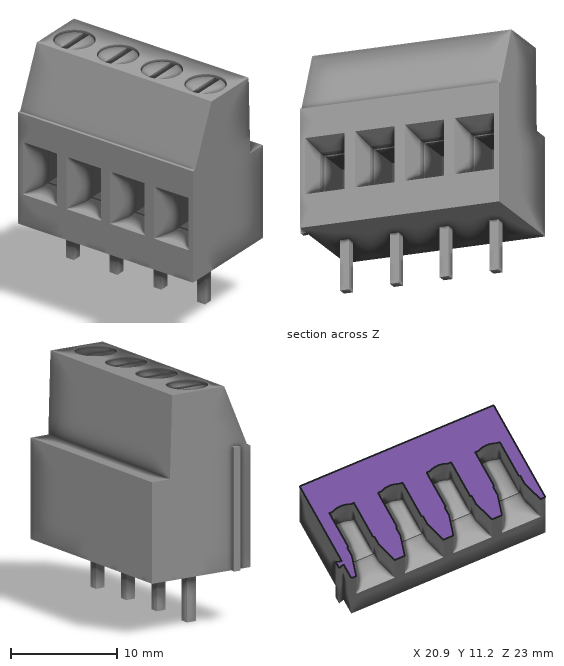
import cadquery as cq
import math

terminal_count = 4
pitch = 5.08
body_length = terminal_count * pitch
body_depth = 11.2
body_height = 18.0
front_wall_height = 11.85
front_ledge_depth = 0.32
top_front_y = 3.0
top_back_y = 8.92
step_y = 9.18
step_height = 9.87

rib_projection = 0.55
rib_root_width = 0.45
rib_tip_width = 0.78
rib_height = 12.05
rib_y = 1.89

entry_floor_z = 3.3
entry_mouth_width = 4.0
entry_mouth_top_z = 8.85
throat_width = 2.78
throat_top_z = 8.0
funnel_depth = 2.2
throat_depth = 3.17

screw_y = 5.52
screw_hole_diameter = 4.0
screw_diameter = 3.8
screw_recess = 0.2
screw_slot_width = 0.7
screw_slot_depth = 1.0
screw_top_z = body_height - screw_recess
screw_hole_floor_z = screw_top_z - screw_slot_depth

chamber_width = 2.53
chamber_floor_z = 3.45
chamber_top_z = 7.9
groove_width = 1.85
groove_radius = screw_hole_diameter / 2
chamber_depth = screw_y + math.sqrt(groove_radius**2 - (groove_width / 2) ** 2)

pin_y = 5.3
pin_width = 0.92
pin_thickness = 1.0
pin_length = 5.0

terminal_positions = [(i + 0.5) * pitch for i in range(terminal_count)]


def box(width, y_start, y_end, z_start, z_end):
    """Box centred on X = 0."""
    size_y = y_end - y_start
    size_z = z_end - z_start
    block = cq.Workplane("XY").box(width, size_y, size_z, centered=(True, False, False))
    return block.translate((0, y_start, z_start))


def cylinder(radius, z_start, z_end):
    """Upright cylinder on the screw axis."""
    return cq.Workplane("XY", origin=(0, screw_y, z_start)).circle(radius).extrude(z_end - z_start)


def make_housing():
    profile = [
        (0, 0),
        (body_depth, 0),
        (body_depth, step_height),
        (step_y, step_height),
        (top_back_y, body_height),
        (top_front_y, body_height),
        (front_ledge_depth, front_wall_height),
        (0, front_wall_height),
    ]
    return cq.Workplane("YZ").polyline(profile).close().extrude(body_length)


def make_rib():
    profile = [
        (0, rib_y - rib_root_width / 2),
        (0, rib_y + rib_root_width / 2),
        (-rib_projection, rib_y + rib_tip_width / 2),
        (-rib_projection, rib_y - rib_tip_width / 2),
    ]
    return cq.Workplane("XY").polyline(profile).close().extrude(rib_height)


def make_wire_entry():
    """Opening whose top and sides taper inwards over a flat floor, then the throat and clamp chamber."""
    mouth_height = entry_mouth_top_z - entry_floor_z
    throat_height = throat_top_z - entry_floor_z
    funnel = (
        cq.Workplane("XZ")
        .center(0, entry_floor_z + mouth_height / 2)
        .rect(entry_mouth_width, mouth_height)
        .workplane(offset=-funnel_depth)
        .center(0, (throat_height - mouth_height) / 2)
        .rect(throat_width, throat_height)
        .loft(ruled=True)
    )
    throat = box(throat_width, 0, throat_depth, entry_floor_z, throat_top_z)
    chamber = box(chamber_width, 0, chamber_depth, chamber_floor_z, chamber_top_z)
    groove = cylinder(groove_radius, chamber_floor_z, chamber_top_z)
    groove = groove.intersect(box(groove_width, screw_y, body_depth, chamber_floor_z, chamber_top_z))
    return funnel.union(throat).union(chamber).union(groove)


def make_screw_hole():
    return cylinder(screw_hole_diameter / 2, screw_hole_floor_z, body_height)


def make_screw_head():
    """Slotted head standing in its hole with a clearance all round."""
    head = cylinder(screw_diameter / 2, screw_hole_floor_z, screw_top_z)
    slot = box(screw_slot_width, 0, body_depth, screw_hole_floor_z, screw_top_z)
    return head.cut(slot)


def make_pin():
    return box(pin_width, pin_y - pin_thickness / 2, pin_y + pin_thickness / 2, -pin_length, 0)


result = make_housing().union(make_rib())
for x in terminal_positions:
    result = result.cut(make_wire_entry().translate((x, 0, 0)))
    result = result.cut(make_screw_hole().translate((x, 0, 0)))
    result = result.union(make_screw_head().translate((x, 0, 0)))
    result = result.union(make_pin().translate((x, 0, 0)))